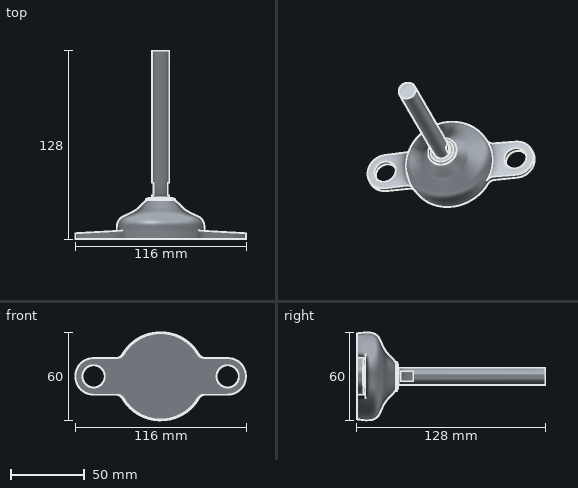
import cadquery as cq
import math

FOOT_HEIGHT = 28.0
BASE_RADIUS = 29.3
RIM_RADIUS = 30.0
RIM_HEIGHT = 6.25
SHOULDER_START_RADIUS = 29.8
SHOULDER_START_HEIGHT = 9.1
SHOULDER_END_RADIUS = 25.1
SHOULDER_END_HEIGHT = 15.7
FLARE_TOP_RADIUS = 16.4
FLARE_TOP_HEIGHT = 20.2
FLARE_HOLLOW = 0.3
DOME_START_RADIUS = 15.2
DOME_START_HEIGHT = 21.3
DOME_TOP_RADIUS = 9.3
DOME_TOP_HEIGHT = 26.5
DOME_BULGE = 0.35

LIP_RADIUS = 10.0
LIP_EDGE_HEIGHT = 27.2
LIP_TOP_RADIUS = 8.0

OVERALL_LENGTH = 116.0
EAR_WIDTH = 25.0
EAR_HOLE_DIAMETER = 15.0
EAR_TIP_THICKNESS = 4.1
EAR_TOP_SLOPE = 3.2
EAR_BLEND_RADIUS = 5.0
EAR_CENTER_X = (OVERALL_LENGTH - EAR_WIDTH) / 2

ROD_DIAMETER = 12.0
ROD_LENGTH = 100.0
ROD_END_CHAMFER = 0.5
FLATS_WIDTH = 10.0
FLATS_LENGTH = 8.3
FLATS_OFFSET = 1.9


def arc_middle(start, end, bulge):
    """Middle point of an arc that rises by bulge, away from the axis, over its chord."""
    chord_r = start[0] - end[0]
    chord_h = end[1] - start[1]
    chord = math.hypot(chord_r, chord_h)
    return (
        (start[0] + end[0]) / 2 + bulge * chord_h / chord,
        (start[1] + end[1]) / 2 + bulge * chord_r / chord,
    )


def make_foot_body():
    """Revolve the drafted base, rounded shoulder, flare, dome and lip about Y."""
    shoulder_end = (SHOULDER_END_RADIUS, SHOULDER_END_HEIGHT)
    flare_top = (FLARE_TOP_RADIUS, FLARE_TOP_HEIGHT)
    dome_start = (DOME_START_RADIUS, DOME_START_HEIGHT)
    dome_top = (DOME_TOP_RADIUS, DOME_TOP_HEIGHT)
    return (
        cq.Workplane("XY")
        .lineTo(BASE_RADIUS, 0)
        .lineTo(RIM_RADIUS, RIM_HEIGHT)
        .lineTo(SHOULDER_START_RADIUS, SHOULDER_START_HEIGHT)
        .tangentArcPoint(shoulder_end, relative=False)
        .threePointArc(arc_middle(shoulder_end, flare_top, -FLARE_HOLLOW), flare_top)
        .lineTo(*dome_start)
        .threePointArc(arc_middle(dome_start, dome_top, DOME_BULGE), dome_top)
        .lineTo(LIP_RADIUS, LIP_EDGE_HEIGHT)
        .lineTo(LIP_TOP_RADIUS, FOOT_HEIGHT)
        .lineTo(0, FOOT_HEIGHT)
        .close()
        .revolve(360, (0, 0), (0, 1))
    )


def make_ears():
    """Round-ended bar through the foot, its top sloping down to both tips."""
    half_length = OVERALL_LENGTH / 2
    peak_height = EAR_TIP_THICKNESS + half_length * math.tan(math.radians(EAR_TOP_SLOPE))
    outline = (
        cq.Workplane("XZ")
        .slot2D(OVERALL_LENGTH, EAR_WIDTH)
        .extrude(-peak_height)
    )
    side_shape = (
        cq.Workplane("XY")
        .moveTo(-half_length, 0)
        .lineTo(half_length, 0)
        .lineTo(half_length, EAR_TIP_THICKNESS)
        .lineTo(0, peak_height)
        .lineTo(-half_length, EAR_TIP_THICKNESS)
        .close()
        .extrude(EAR_WIDTH / 2, both=True)
    )
    return outline.intersect(side_shape)


def make_foot():
    """Join the ears to the foot, blend the four corners and drill the ears."""
    foot = make_foot_body().union(make_ears())
    corner_x = math.sqrt(RIM_RADIUS**2 - (EAR_WIDTH / 2) ** 2)
    corner_points = [
        (side_x * corner_x, RIM_HEIGHT / 2, side_z * EAR_WIDTH / 2)
        for side_x in (-1, 1)
        for side_z in (-1, 1)
    ]
    for point in corner_points:
        foot = foot.edges(cq.NearestToPointSelector(point)).fillet(EAR_BLEND_RADIUS)
    holes = (
        cq.Workplane("XZ")
        .pushPoints([(-EAR_CENTER_X, 0), (EAR_CENTER_X, 0)])
        .circle(EAR_HOLE_DIAMETER / 2)
        .extrude(-FOOT_HEIGHT)
    )
    return foot.cut(holes)


def make_rod():
    """Round rod with a chamfered lower end and two wrench flats facing X."""
    rod = (
        cq.Workplane("XZ", origin=(0, FOOT_HEIGHT, 0))
        .circle(ROD_DIAMETER / 2)
        .extrude(-ROD_LENGTH)
        .faces("<Y")
        .chamfer(ROD_END_CHAMFER)
    )
    flats_middle_y = FOOT_HEIGHT + FLATS_OFFSET + FLATS_LENGTH / 2
    for side in (-1, 1):
        cutter_x = side * (FLATS_WIDTH + ROD_DIAMETER) / 2
        cutter = (
            cq.Workplane("XY", origin=(cutter_x, flats_middle_y, 0))
            .box(ROD_DIAMETER, FLATS_LENGTH, ROD_DIAMETER)
        )
        rod = rod.cut(cutter)
    return rod


foot = make_foot()
rod = make_rod()

result = cq.Compound.makeCompound([foot.val(), rod.val()])